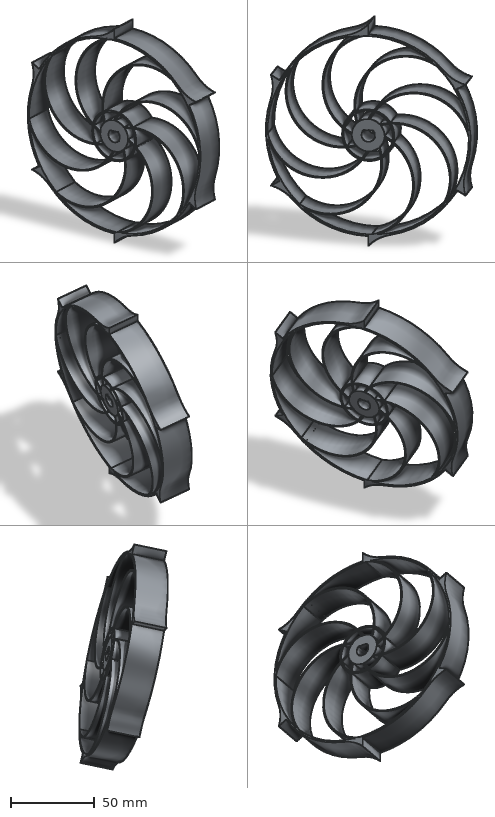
import cadquery as cq
import math

WIDTH = 20.0

RIM_RADIUS = 62.5
RIM_THICKNESS = 1.2
TOOTH_COUNT = 6
TOOTH_HEIGHT = 6.0
TOOTH_FLANK_RADIUS = 26.0
TOOTH_ROOT_DEPTH = 0.5
FIRST_TOOTH_ANGLE = 90.0

SPOKE_COUNT = 8
SPOKE_THICKNESS = 0.8
SPOKE_OUTER_RADIUS = 33.32

HUB_RADIUS = 10.0
BORE_RADIUS = 4.1
BORE_FLAT_HEIGHT = 3.1
RING_RADIUS = 16.0
RING_THICKNESS = 1.0


def wheel_plane():
    """Sketch plane at the +Y face: local X is +X, local Y is +Z, extrusion runs toward -Y."""
    return cq.Workplane("XZ", origin=(0, WIDTH, 0))


def polar(radius, angle):
    """Point at a radius and an angle in radians, measured from +X toward +Z."""
    return (radius * math.cos(angle), radius * math.sin(angle))


def around_axis(body, count):
    """Copies of a body, evenly spaced about the wheel axis."""
    step = 360.0 / count
    return [body.rotate((0, 0, 0), (0, 1, 0), i * step) for i in range(count)]


def band(outer_radius, thickness):
    """Thin cylindrical ring across the full width."""
    return wheel_plane().circle(outer_radius).circle(outer_radius - thickness).extrude(WIDTH)


def hub():
    """Solid hub disc, still without its bore."""
    return wheel_plane().circle(HUB_RADIUS).extrude(WIDTH)


def bore():
    """Round shaft hole with a flat on its +Z side."""
    half_flat = math.sqrt(BORE_RADIUS**2 - BORE_FLAT_HEIGHT**2)
    return (
        wheel_plane()
        .moveTo(-half_flat, BORE_FLAT_HEIGHT)
        .lineTo(half_flat, BORE_FLAT_HEIGHT)
        .threePointArc((0, -BORE_RADIUS), (-half_flat, BORE_FLAT_HEIGHT))
        .close()
        .extrude(WIDTH)
    )


def spoke():
    """Curved spoke whose outer arc runs from the top of the hub to the +X point of the rim."""
    chord = math.hypot(RIM_RADIUS, HUB_RADIUS)
    bisector_leg = math.sqrt(SPOKE_OUTER_RADIUS**2 - (chord / 2) ** 2)
    center_x = RIM_RADIUS / 2 - bisector_leg * HUB_RADIUS / chord
    center_z = HUB_RADIUS / 2 - bisector_leg * RIM_RADIUS / chord

    hub_angle = math.atan2(HUB_RADIUS - center_z, -center_x)
    rim_angle = math.atan2(-center_z, RIM_RADIUS - center_x)
    middle_angle = (hub_angle + rim_angle) / 2
    inner_radius = SPOKE_OUTER_RADIUS - SPOKE_THICKNESS

    def arc_point(radius, angle):
        x, z = polar(radius, angle)
        return (center_x + x, center_z + z)

    return (
        wheel_plane()
        .moveTo(0, HUB_RADIUS)
        .threePointArc(arc_point(SPOKE_OUTER_RADIUS, middle_angle), (RIM_RADIUS, 0))
        .lineTo(*arc_point(inner_radius, rim_angle))
        .threePointArc(arc_point(inner_radius, middle_angle), arc_point(inner_radius, hub_angle))
        .close()
        .extrude(WIDTH)
    )


def tooth():
    """Hooked tooth: a radial front face and a concave flank running tangent into the rim."""
    tip_radius = RIM_RADIUS + TOOTH_HEIGHT
    root_radius = RIM_RADIUS - TOOTH_ROOT_DEPTH
    tip_angle = math.radians(FIRST_TOOTH_ANGLE)

    flank_center_radius = RIM_RADIUS + TOOTH_FLANK_RADIUS
    cos_span = (flank_center_radius**2 + tip_radius**2 - TOOTH_FLANK_RADIUS**2) / (
        2 * flank_center_radius * tip_radius
    )
    span = math.acos(cos_span)
    heel_angle = tip_angle + span

    tip = polar(tip_radius, tip_angle)
    heel = polar(RIM_RADIUS, heel_angle)
    center = polar(flank_center_radius, heel_angle)
    tip_direction = math.atan2(tip[1] - center[1], tip[0] - center[0])
    heel_direction = math.atan2(heel[1] - center[1], heel[0] - center[0])
    middle = polar(TOOTH_FLANK_RADIUS, (tip_direction + heel_direction) / 2)

    return (
        wheel_plane()
        .moveTo(*tip)
        .threePointArc((center[0] + middle[0], center[1] + middle[1]), heel)
        .lineTo(*polar(root_radius, heel_angle))
        .threePointArc(polar(root_radius, tip_angle + span / 2), polar(root_radius, tip_angle))
        .close()
        .extrude(WIDTH)
    )


wheel = hub().union(band(RING_RADIUS, RING_THICKNESS)).union(band(RIM_RADIUS, RIM_THICKNESS))
for body in around_axis(spoke(), SPOKE_COUNT) + around_axis(tooth(), TOOTH_COUNT):
    wheel = wheel.union(body)

result = wheel.cut(bore())